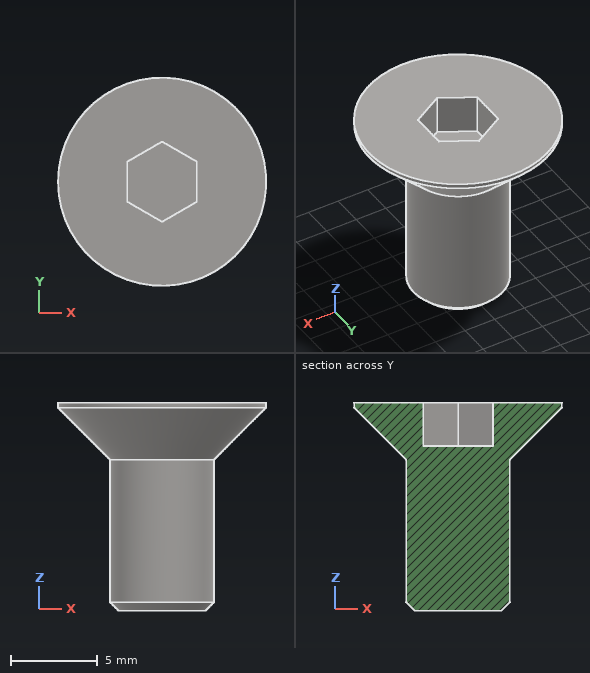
import cadquery as cq
import math

total_length = 12.0
shank_diameter = 6.0
head_diameter = 12.0
rim_height = 0.3
countersink_angle = 90.0
tip_chamfer = 0.5
socket_across_flats = 4.0
socket_depth = 2.5

shank_radius = shank_diameter / 2
head_radius = head_diameter / 2
cone_height = (head_radius - shank_radius) / math.tan(math.radians(countersink_angle / 2))
head_height = rim_height + cone_height


def screw_body():
    """Head, shank and chamfered tip, turned from one half profile."""
    profile = (
        cq.Workplane("XZ")
        .moveTo(0, 0)
        .lineTo(-head_radius, 0)
        .lineTo(-head_radius, -rim_height)
        .lineTo(-shank_radius, -head_height)
        .lineTo(-shank_radius, -total_length + tip_chamfer)
        .lineTo(-shank_radius + tip_chamfer, -total_length)
        .lineTo(0, -total_length)
        .close()
    )
    return profile.revolve(360, (0, 0, 0), (0, 1, 0))


def hex_socket():
    """Hexagonal drive recess with two of its corners on the Y axis."""
    across_corners = socket_across_flats / math.cos(math.pi / 6)
    corner_turn = 90
    return (
        cq.Workplane("XY")
        .polygon(6, across_corners)
        .extrude(-socket_depth)
        .rotate((0, 0, 0), (0, 0, 1), corner_turn)
    )


result = screw_body().cut(hex_socket())